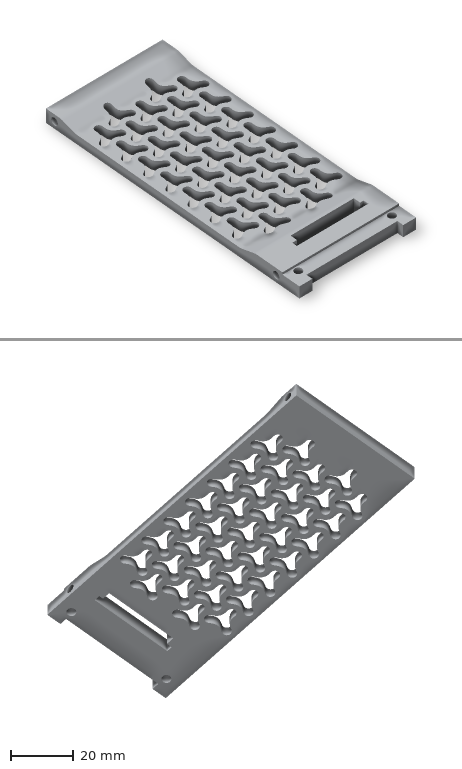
import cadquery as cq
import math

length = 120.0
width = 51.0
thickness = 6.0

recess_start = 7.1
recess_end = 99.2
recess_depth = 2.0
ramp_angle = 16.0
ramp_blend_radius = 5.0

step_start = 112.0
step_depth = 1.0
notch_start = 117.2
notch_width = 39.7

step_hole_diameter = 3.2
step_hole_x = 114.0
step_hole_spacing = 40.9
side_hole_diameter = 3.1
side_hole_positions = (4.1, 109.0)
side_hole_depth = 6.0

slot_start = 100.2
slot_step = 103.2
slot_end = 105.4
slot_wide_y = (-13.1, 18.1)
slot_narrow_y = (-11.0, 16.5)

lattice_centre_x = 52.9
long_row_span = 73.5
row_counts = (7, 8, 7, 8, 7)
opening_pitch = long_row_span / (max(row_counts) - 1)
row_pitch = opening_pitch * math.sqrt(3) / 2
arm_count = 3
arm_reach = 6.0
arm_width = 3.2
arm_length = arm_reach - arm_width / 2
arm_blend_radius = 3.6


def through_box(x_range, y_range):
    """Box through the full plate thickness."""
    size_x = x_range[1] - x_range[0]
    size_y = y_range[1] - y_range[0]
    box = cq.Workplane("XY").box(size_x, size_y, thickness, centered=False)
    return box.translate((x_range[0], y_range[0], 0))


def make_plate():
    """Extrude the side profile and round the four bends of the recess ramps."""
    floor = thickness - recess_depth
    ledge = thickness - step_depth
    ramp_run = recess_depth / math.tan(math.radians(ramp_angle))
    bends = [
        (recess_start, thickness),
        (recess_start + ramp_run, floor),
        (recess_end - ramp_run, floor),
        (recess_end, thickness),
    ]
    start_end = [(0, 0), (0, thickness)]
    step_end = [(step_start, thickness), (step_start, ledge), (length, ledge), (length, 0)]
    plate = (
        cq.Workplane("XZ")
        .polyline(start_end + bends + step_end)
        .close()
        .extrude(width / 2, both=True)
    )
    for x, z in bends:
        plate = plate.edges(cq.selectors.NearestToPointSelector((x, 0, z))).fillet(ramp_blend_radius)
    return plate


def make_opening():
    """Cutter with three round-ended arms, blended where the arms meet; one arm points to -X."""
    arm = (
        cq.Workplane("XY")
        .center(-arm_length / 2, 0)
        .rect(arm_length, arm_width)
        .extrude(thickness)
        .union(cq.Workplane("XY").center(-arm_length, 0).circle(arm_width / 2).extrude(thickness))
    )
    opening = arm
    arm_step = 360 / arm_count
    for index in range(1, arm_count):
        opening = opening.union(arm.rotate((0, 0, 0), (0, 0, 1), index * arm_step))
    corner_distance = arm_width / 2 / math.sin(math.radians(arm_step / 2))
    for index in range(arm_count):
        angle = math.radians(index * arm_step)
        corner = (corner_distance * math.cos(angle), corner_distance * math.sin(angle), thickness / 2)
        opening = opening.edges(cq.selectors.NearestToPointSelector(corner)).fillet(arm_blend_radius)
    return opening.val()


def make_lattice():
    """All openings, in rows sharing one centre along X."""
    opening = make_opening()
    openings = []
    for row, count in enumerate(row_counts):
        y = (row - (len(row_counts) - 1) / 2) * row_pitch
        for column in range(count):
            x = lattice_centre_x + (column - (count - 1) / 2) * opening_pitch
            openings.append(opening.translate(cq.Vector(x, y, 0)))
    return cq.Workplane("XY").newObject([cq.Compound.makeCompound(openings)])


def make_slot():
    wide = through_box((slot_step, slot_end), slot_wide_y)
    narrow = through_box((slot_start, slot_step), slot_narrow_y)
    return wide.union(narrow)


def make_step_holes():
    """Vertical through holes in the lowered step."""
    centres = [(step_hole_x, side * step_hole_spacing / 2) for side in (-1, 1)]
    return cq.Workplane("XY").pushPoints(centres).circle(step_hole_diameter / 2).extrude(thickness)


def make_side_holes():
    """Blind holes at mid thickness, entering from both long sides."""
    centres = [(x, thickness / 2) for x in side_hole_positions]
    front = (
        cq.Workplane("XZ", origin=(0, -width / 2, 0))
        .pushPoints(centres)
        .circle(side_hole_diameter / 2)
        .extrude(-side_hole_depth)
    )
    return front.union(front.mirror("XZ"))


notch = through_box((notch_start, length), (-notch_width / 2, notch_width / 2))

result = (
    make_plate()
    .cut(make_lattice())
    .cut(make_slot())
    .cut(notch)
    .cut(make_step_holes())
    .cut(make_side_holes())
)